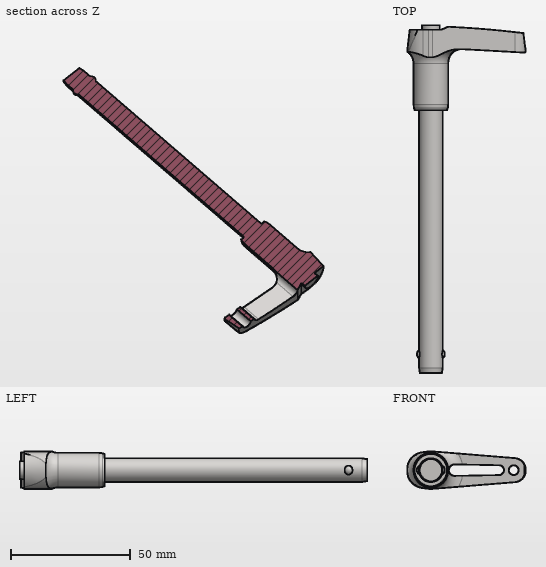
import cadquery as cq
import math


total_length = 145.4
button_top = 35.6
tip_y = button_top - total_length

pin_radius = 5.0
tip_chamfer_length = 2.3
tip_chamfer_depth = 0.35
ball_radius = 2.0
ball_reach = 5.9
ball_to_tip = 7.9

collar_radius = 7.3
collar_top = 19.6
rim_taper_start = 2.5
rim_edge_y = 1.1
rim_edge_radius = 7.15
shoulder_radius = 6.75
neck_fillet = 6.0
neck_top = collar_top + neck_fillet

hub_radius = 7.6
hub_center_x = -2.47
hub_top = 33.7
hub_taper_bottom = 24.4
hub_taper_bottom_radius = 9.97
hub_taper_top_radius = 8.9
core_radius = 7.91
button_radius = 3.8
button_overlap = 1.0

arm_end_radius = 5.1
arm_end_x = 34.62
arm_reach = 39.75
arm_reach_top = 38.75
arm_end_top = 32.2
arm_mid_top = 34.2
arm_mid_x = 20.0
crest_x = 7.2
crest_y = 35.0
valley_x = 4.2
arm_end_bottom = 24.1
arm_lip_height = 0.4
arm_lip_depth = 0.75
slot_start_x = 9.9
slot_start_radius = 2.35
slot_end_x = 28.5
slot_end_radius = 2.0
lanyard_hole_radius = 2.0

cut_depth = 60.0
side_margin = 15.0


def revolve_about_pin(points):
    return cq.Workplane("XY").polyline(points).close().revolve(360, (0, 0, 0), (0, 1, 0))


def cylinder_on_pin(radius, y_low, y_high):
    return cq.Workplane("XZ", origin=(0, y_low, 0)).circle(radius).extrude(y_low - y_high)


def belt_around(circles):
    """Prism along Y bounded by circles in a row along X and their outer tangents.

    Each circle is given as (centre x, radius), in order of rising x.
    """
    first_x, first_radius = circles[0]
    last_x, last_radius = circles[-1]
    upper_points = []
    for (x_a, radius_a), (x_b, radius_b) in zip(circles, circles[1:]):
        lean = (radius_a - radius_b) / (x_b - x_a)
        rise = math.sqrt(1 - lean**2)
        tangent_a = (x_a + radius_a * lean, radius_a * rise)
        tangent_b = (x_b + radius_b * lean, radius_b * rise)
        upper_points.append((tangent_a, tangent_b))
    lower_points = [((x_b, -z_b), (x_a, -z_a)) for (x_a, z_a), (x_b, z_b) in reversed(upper_points)]

    start = upper_points[0][0]
    belt = cq.Workplane("XZ", origin=(0, cut_depth, 0)).moveTo(*start).lineTo(*upper_points[0][1])
    belt = add_belt_side(belt, circles[1:-1], upper_points[1:], 1)
    belt = belt.threePointArc((last_x + last_radius, 0), lower_points[0][0]).lineTo(*lower_points[0][1])
    belt = add_belt_side(belt, circles[-2:0:-1], lower_points[1:], -1)
    belt = belt.threePointArc((first_x - first_radius, 0), start)
    return belt.close().extrude(cut_depth)


def add_belt_side(belt, inner_circles, tangents, side):
    """Continue the belt over the crown of each inner circle and along the next tangent."""
    for (x, radius), (tangent_start, tangent_end) in zip(inner_circles, tangents):
        belt = belt.threePointArc((x, side * radius), tangent_start).lineTo(*tangent_end)
    return belt


def make_pin():
    chamfer_y = tip_y + tip_chamfer_length
    pin = revolve_about_pin([
        (0, tip_y),
        (pin_radius - tip_chamfer_depth, tip_y),
        (pin_radius, chamfer_y),
        (pin_radius, rim_edge_y),
        (0, rim_edge_y),
    ])
    for side in (-1, 1):
        ball_center = (side * (ball_reach - ball_radius), tip_y + ball_to_tip, 0)
        pin = pin.union(cq.Workplane("XY").sphere(ball_radius).translate(ball_center))
    return pin


def make_collar():
    return revolve_about_pin([
        (0, 0),
        (shoulder_radius, 0),
        (rim_edge_radius, rim_edge_y),
        (collar_radius, rim_taper_start),
        (collar_radius, neck_top),
        (0, neck_top),
    ])


def make_swept_envelope():
    """Neck flare, underside and end of the arm, all turned about the pin axis."""
    diagonal = neck_fillet * math.sqrt(0.5)
    flare_radius = collar_radius + neck_fillet
    return (
        cq.Workplane("XY")
        .moveTo(0, collar_top)
        .lineTo(collar_radius, collar_top)
        .threePointArc((flare_radius - diagonal, collar_top + diagonal), (flare_radius, neck_top))
        .lineTo(arm_reach - arm_lip_depth, arm_end_bottom)
        .lineTo(arm_reach, arm_end_bottom + arm_lip_height)
        .lineTo(arm_reach_top, arm_end_top)
        .lineTo(arm_reach_top, button_top)
        .lineTo(0, button_top)
        .close()
        .revolve(360, (0, 0, 0), (0, 1, 0))
    )


def make_top_profile():
    """Everything below the top of the hub and arm, extruded along Z."""
    return (
        cq.Workplane("XY", origin=(0, 0, -side_margin))
        .moveTo(-side_margin, 0)
        .lineTo(-side_margin, hub_top)
        .lineTo(valley_x, hub_top)
        .lineTo(crest_x, crest_y)
        .threePointArc((arm_mid_x, arm_mid_top), (arm_reach, arm_end_top))
        .lineTo(arm_reach, 0)
        .close()
        .extrude(2 * side_margin)
    )


def make_hub_taper():
    """Cone that trims the rounded back of the hub, joined to a block that leaves the arm whole."""
    slope = (hub_taper_top_radius - hub_taper_bottom_radius) / (hub_top - hub_taper_bottom)
    radius_at_shoulder = hub_taper_bottom_radius - slope * hub_taper_bottom
    radius_at_button = radius_at_shoulder + slope * button_top
    cone = revolve_about_pin([
        (0, 0),
        (radius_at_shoulder, 0),
        (radius_at_button, button_top),
        (0, button_top),
    ])
    arm_block = cq.Workplane("XY").box(cut_depth, cut_depth, 2 * side_margin, centered=(False, False, True))
    return cone.union(arm_block)


def make_handle():
    outline = belt_around([
        (hub_center_x, hub_radius),
        (0, core_radius),
        (arm_end_x, arm_end_radius),
    ])
    handle = outline.intersect(make_top_profile())
    handle = handle.intersect(make_swept_envelope())
    handle = handle.intersect(make_hub_taper())
    arm_slot = belt_around([
        (slot_start_x, slot_start_radius),
        (slot_end_x, slot_end_radius),
    ])
    lanyard_hole = cylinder_on_pin(lanyard_hole_radius, 0, cut_depth).translate((arm_end_x, 0, 0))
    return handle.cut(arm_slot).cut(lanyard_hole)


def make_button():
    return cylinder_on_pin(button_radius, hub_top - button_overlap, button_top)


result = make_pin().union(make_collar()).union(make_handle()).union(make_button())